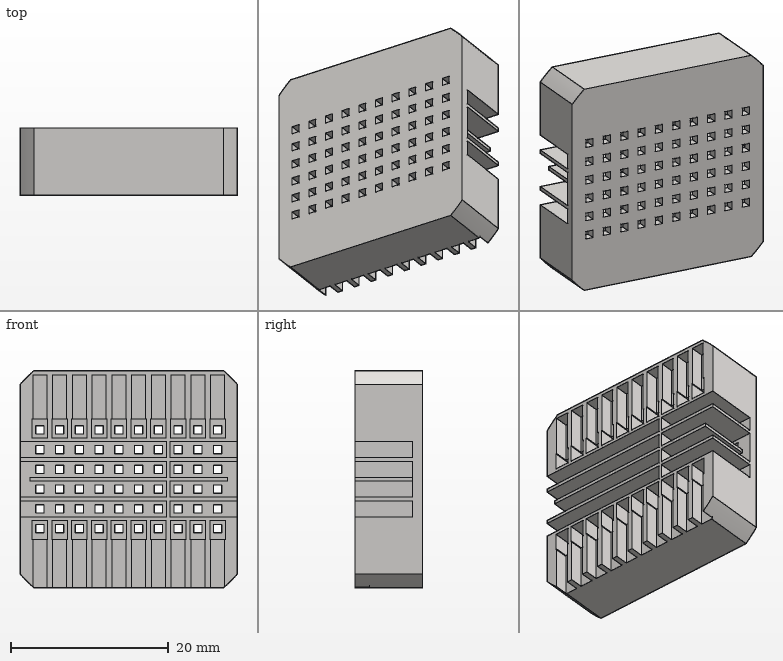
import cadquery as cq

side = 27.5
depth = 8.55
corner_radius = 18.25
web_thickness = 1.3

columns = 10
rows = 6
pitch = 2.5
hole_side = 1.02

channel_half_height = 4.75
rib_thickness = 0.5
middle_rib_length = 25.02
divider_thickness = 0.4
divider_x = 2 * pitch

socket_width = 1.98
socket_inner_z = 5.22
socket_outer_z = 7.62
trough_width = 1.8
trough_depth = 1.82
roof_thickness = 0.52

half_side = side / 2
front_y = -depth / 2
web_y = depth / 2 - web_thickness
trough_floor_y = front_y + trough_depth
column_positions = [(i - (columns - 1) / 2) * pitch for i in range(columns)]
row_positions = [(i - (rows - 1) / 2) * pitch for i in range(rows)]


def front_block(x_center, width, z_min, z_max, floor_y=web_y):
    """Box reaching from the front face back to floor_y."""
    size = (width, floor_y - front_y, z_max - z_min)
    corner = (x_center - width / 2, front_y, z_min)
    return cq.Workplane("XY").box(*size, centered=False).translate(corner)


def make_body():
    square = cq.Workplane("XZ").rect(side, side).extrude(depth / 2, both=True)
    disc = cq.Workplane("XZ").circle(corner_radius).extrude(depth / 2, both=True)
    return square.intersect(disc)


def make_rib(z, length):
    return front_block(0, length, z - rib_thickness / 2, z + rib_thickness / 2)


def make_channels():
    """Open space across the middle, less the three ribs and the divider."""
    space = front_block(0, side, -channel_half_height, channel_half_height)
    for z, length in ((-pitch, side), (0, middle_rib_length), (pitch, side)):
        space = space.cut(make_rib(z, length))
    divider = front_block(divider_x, divider_thickness, -channel_half_height, channel_half_height)
    return space.cut(divider)


def make_wire_slots(x):
    """Sockets and troughs of one column; only the lower trough is open at its end."""
    upper_socket = front_block(x, socket_width, socket_inner_z, socket_outer_z)
    lower_socket = front_block(x, socket_width, -socket_outer_z, -socket_inner_z)
    trough_top = half_side - roof_thickness
    upper_trough = front_block(x, trough_width, socket_outer_z, trough_top, trough_floor_y)
    lower_trough = front_block(x, trough_width, -half_side, -socket_outer_z, trough_floor_y)
    return upper_socket.union(upper_trough).union(lower_socket).union(lower_trough)


def make_holes():
    centers = [(x, z) for x in column_positions for z in row_positions]
    return cq.Workplane("XZ").pushPoints(centers).rect(hole_side, hole_side).extrude(depth, both=True)


result = make_body().cut(make_channels())
for column_x in column_positions:
    result = result.cut(make_wire_slots(column_x))
result = result.cut(make_holes())